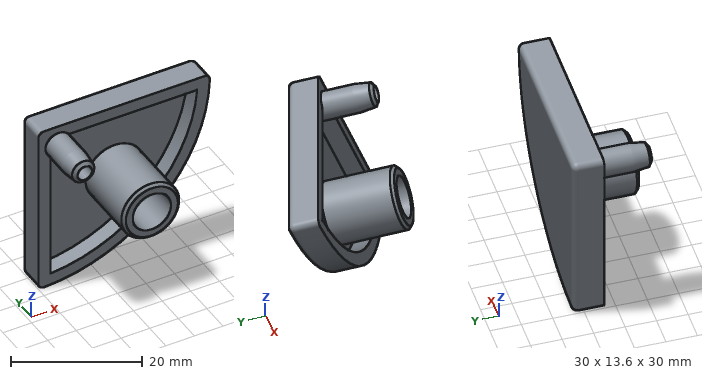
import cadquery as cq
import math

plate_side = 29.98
plate_thickness = 5.0
edge_radius = 1.0
rim_width = 2.15
recess_depth = 3.0
plate_radius = edge_radius + math.hypot(plate_side - edge_radius, edge_radius)

boss_center = (plate_side / 2, -plate_side / 2)
boss_diameter = 10.1
boss_length = 8.6
boss_bore_diameter = 6.7
boss_chamfer = 0.5

pin_inset = 3.5
pin_center = (pin_inset, -pin_inset)
pin_diameter = 4.5
pin_length = 8.18
pin_straight_length = 5.15
pin_taper_end_diameter = 3.9
pin_tip_length = 0.5
pin_bore_diameter = 2.52


def front_plane(y):
    """Plane facing -Y, with local x along X and local y along Z."""
    return cq.Workplane("XZ", origin=(0, y, 0))


def quarter_disc(y, depth, inset):
    """Quarter disc inset evenly from the plate outline, extruded from y toward +Y."""
    radius = plate_radius - inset
    reach = math.sqrt(radius**2 - inset**2)
    middle = radius * math.sqrt(0.5)
    return (
        front_plane(y)
        .moveTo(inset, -inset)
        .lineTo(reach, -inset)
        .threePointArc((middle, -middle), (inset, -reach))
        .close()
        .extrude(-depth)
    )


def cylinder(center, diameter, y, length):
    """Round bar starting at y and running toward -Y."""
    return front_plane(y).center(*center).circle(diameter / 2).extrude(length)


def make_plate():
    plate = quarter_disc(0, plate_thickness, 0)
    plate = plate.edges("|Y").fillet(edge_radius)
    return plate.faces(">Y").edges().fillet(edge_radius)


def make_boss():
    boss = cylinder(boss_center, boss_diameter, recess_depth, recess_depth + boss_length)
    boss = boss.faces("<Y").edges().chamfer(boss_chamfer)
    return boss.cut(cylinder(boss_center, boss_bore_diameter, recess_depth, recess_depth + boss_length))


def make_pin():
    taper_end = pin_length - pin_tip_length
    profile = [
        (0, -recess_depth),
        (pin_diameter / 2, -recess_depth),
        (pin_diameter / 2, pin_straight_length),
        (pin_taper_end_diameter / 2, taper_end),
        (pin_bore_diameter / 2, pin_length),
        (0, pin_length),
    ]
    pin = cq.Workplane("XY").polyline(profile).close().revolve(360, (0, 0), (0, 1))
    return pin.rotate((0, 0, 0), (1, 0, 0), 180).translate((pin_inset, 0, -pin_inset))


recess = quarter_disc(0, recess_depth, rim_width)
pin_bore = cylinder(pin_center, pin_bore_diameter, recess_depth, recess_depth + pin_length)
result = make_plate().cut(recess).union(make_boss()).union(make_pin()).cut(pin_bore)